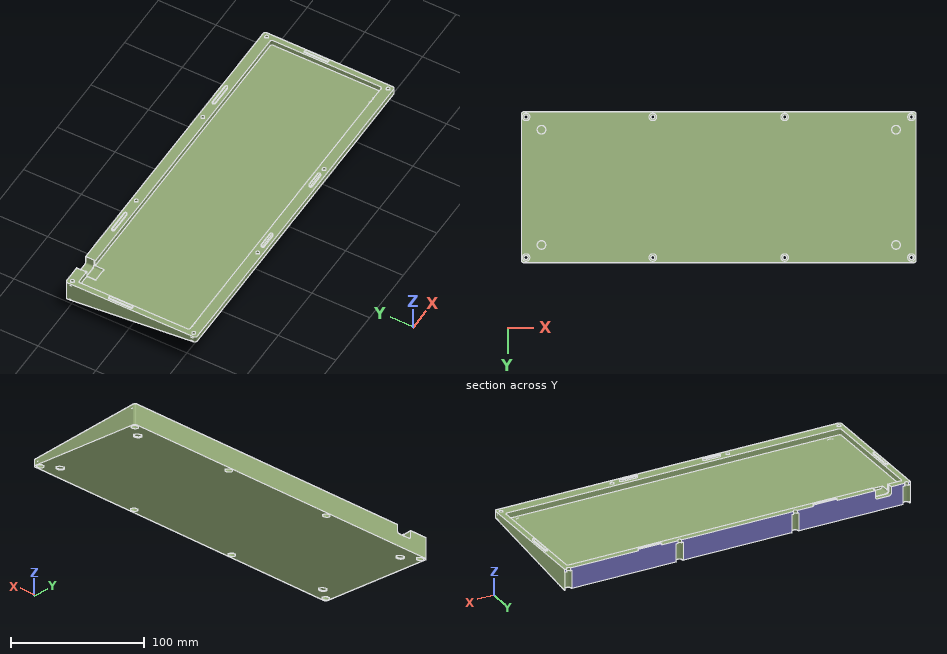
import cadquery as cq
import math

LENGTH = 295.7
WIDTH = 113.3
OVERALL_HEIGHT = 19.5
UNDERSIDE_ANGLE = 6.5
CORNER_RADIUS = 2.0

SIDE_RIM = 4.7
LONG_RIM = 8.5
POCKET_DEPTH = 5.0
POCKET_CORNER_RADIUS = 1.5

RIM_LINE_Y = 52.5

HOLE_DIAMETER = 2.9
HEAD_DIAMETER = 5.5
HEAD_SEAT_DEPTH = 2.7
HOLE_X_OUTER = 144.3
HOLE_X_INNER = 49.5

FOOT_DIAMETER = 6.5
FOOT_RECESS_DEPTH = 1.0
FOOT_X = 132.8
FOOT_Y = 43.2

RIDGE_HEIGHT = 1.2
LONG_RIDGE_WIDTH = 2.7
CHAMFER_WIDTH = 1.0
CHAMFER_DROP = 0.5
REAR_RIDGE_LENGTH = 20.5
REAR_RIDGE_X = 74.8
FRONT_RIDGE_LENGTH = 15.0
FRONT_RIDGE_X = 35.5
SIDE_RIDGE_LENGTH = 20.5
SIDE_RIDGE_WIDTH = 1.8
SIDE_RIDGE_X = 145.5
SIDE_RIDGE_Y = 10.0

CHANNEL_X = -124.5
CABLE_WIDTH = 13.3
CABLE_DEPTH = 7.5
CABLE_LENGTH = 7.5
CABLE_BOTTOM_RADIUS = 2.0
PLUG_WIDTH = 12.5
PLUG_DEPTH = 7.0
PLUG_LENGTH = 16.3
PLUG_BOTTOM_RADIUS = 2.7

SLOPE = math.tan(math.radians(UNDERSIDE_ANGLE))
REAR_HEIGHT = OVERALL_HEIGHT - RIDGE_HEIGHT
FRONT_HEIGHT = REAR_HEIGHT - WIDTH * SLOPE


def wedge_body():
    """Solid wedge, tallest at the rear, with rounded upright corners."""
    side_profile = [
        (-WIDTH / 2, 0),
        (WIDTH / 2, 0),
        (WIDTH / 2, -REAR_HEIGHT),
        (-WIDTH / 2, -FRONT_HEIGHT),
    ]
    wedge = cq.Workplane("YZ").polyline(side_profile).close().extrude(LENGTH / 2, both=True)
    return wedge.edges("|Z").fillet(CORNER_RADIUS)


def tray_pocket():
    """Level-floored pocket inside the rim."""
    block = (
        cq.Workplane("XY")
        .rect(LENGTH - 2 * SIDE_RIM, WIDTH - 2 * LONG_RIM)
        .extrude(-POCKET_DEPTH)
    )
    return block.edges("|Z").fillet(POCKET_CORNER_RADIUS)


def screw_holes():
    """Through holes along both long rims, with their counterbores."""
    centres = [
        (x, y)
        for x in (-HOLE_X_OUTER, -HOLE_X_INNER, HOLE_X_INNER, HOLE_X_OUTER)
        for y in (-RIM_LINE_Y, RIM_LINE_Y)
    ]
    shanks = cq.Workplane("XY").pushPoints(centres).circle(HOLE_DIAMETER / 2).extrude(-REAR_HEIGHT)
    heads = (
        cq.Workplane("XY", origin=(0, 0, -HEAD_SEAT_DEPTH))
        .pushPoints(centres)
        .circle(HEAD_DIAMETER / 2)
        .extrude(-REAR_HEIGHT)
    )
    return shanks.union(heads)


def foot_recess(x, y):
    """Shallow round recess, square to the sloping underside."""
    underside_z = -FRONT_HEIGHT - (y + WIDTH / 2) * SLOPE
    underside = cq.Plane(origin=(x, y, underside_z), xDir=(1, 0, 0), normal=(0, SLOPE, 1))
    return cq.Workplane(underside).circle(FOOT_DIAMETER / 2).extrude(FOOT_RECESS_DEPTH, both=True)


def long_ridge(x, length, outward):
    """Round-ended ridge with a chamfer along its outer side; outward is 1 at the rear, -1 at the front."""
    ridge = (
        cq.Workplane("XY")
        .center(x, outward * RIM_LINE_Y)
        .slot2D(length, LONG_RIDGE_WIDTH)
        .extrude(RIDGE_HEIGHT)
    )
    outer_y = outward * (RIM_LINE_Y + LONG_RIDGE_WIDTH / 2)
    chamfer_profile = [
        (outer_y, RIDGE_HEIGHT),
        (outer_y, RIDGE_HEIGHT - CHAMFER_DROP),
        (outer_y - outward * CHAMFER_WIDTH, RIDGE_HEIGHT),
    ]
    chamfer = (
        cq.Workplane("YZ", origin=(x, 0, 0))
        .polyline(chamfer_profile)
        .close()
        .extrude(length / 2, both=True)
    )
    return ridge.cut(chamfer)


def side_ridge(x):
    """Plain rectangular ridge on a short rim."""
    return (
        cq.Workplane("XY")
        .center(x, SIDE_RIDGE_Y)
        .rect(SIDE_RIDGE_WIDTH, SIDE_RIDGE_LENGTH)
        .extrude(RIDGE_HEIGHT)
    )


def rear_channel(width, depth, length, bottom_radius):
    """Channel running in from the rear face, with rounded bottom edges."""
    block = (
        cq.Workplane("XY")
        .center(CHANNEL_X, WIDTH / 2 - length / 2)
        .rect(width, length)
        .extrude(-depth)
    )
    return block.edges("|Y and <Z").fillet(bottom_radius)


result = wedge_body().cut(tray_pocket()).cut(screw_holes())
for foot_x in (-FOOT_X, FOOT_X):
    for foot_y in (-FOOT_Y, FOOT_Y):
        result = result.cut(foot_recess(foot_x, foot_y))
result = result.cut(rear_channel(CABLE_WIDTH, CABLE_DEPTH, CABLE_LENGTH, CABLE_BOTTOM_RADIUS))
result = result.cut(rear_channel(PLUG_WIDTH, PLUG_DEPTH, PLUG_LENGTH, PLUG_BOTTOM_RADIUS))

for side in (-1, 1):
    result = result.union(long_ridge(side * REAR_RIDGE_X, REAR_RIDGE_LENGTH, 1))
    result = result.union(long_ridge(side * FRONT_RIDGE_X, FRONT_RIDGE_LENGTH, -1))
    result = result.union(side_ridge(side * SIDE_RIDGE_X))